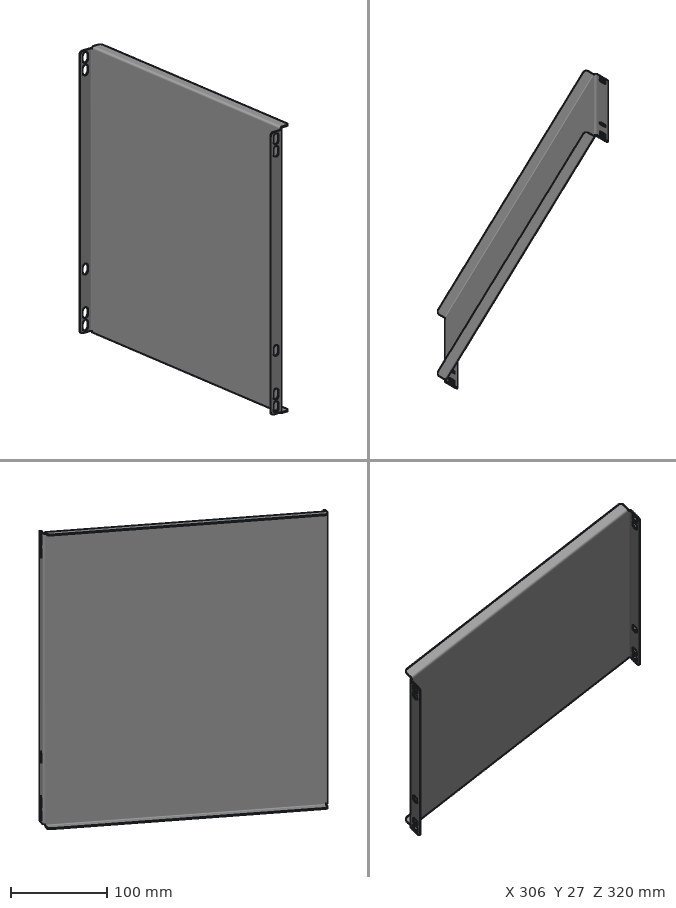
import cadquery as cq

WIDTH = 306.0
DEPTH = 27.0
HEIGHT = 320.0

THICKNESS = 1.5
INNER_BEND = 1.0
OUTER_BEND = INNER_BEND + THICKNESS

REAR_FLANGE = 12.0
REAR_CORNER = 4.0
SIDE_CORNER = 4.0

SLOT_WIDTH = 7.0
SLOT_LENGTH = 12.0
SLOT_EDGE_DISTANCE = 7.0
END_SLOT = 149.5
SLOT_PITCH = 14.0
SINGLE_SLOT = -86.7
SLOT_HEIGHTS = [END_SLOT, END_SLOT - SLOT_PITCH, SINGLE_SLOT, SLOT_PITCH - END_SLOT, -END_SLOT]

REAR_EDGE = DEPTH / 2
FRONT_EDGE = -DEPTH / 2
PANEL_FRONT = REAR_EDGE - REAR_FLANGE
PANEL_BACK = PANEL_FRONT + THICKNESS

FLAT_WIDTH = WIDTH - 2 * OUTER_BEND
FLAT_HEIGHT = HEIGHT - 2 * OUTER_BEND


def flange_section(plane, flat_end, outer, panel_inner, panel_outer, tip):
    """Bend and flange profile; panel_inner is the panel face on the inside of the bend."""
    toward_tip = 1 if tip > panel_inner else -1
    bend_end = panel_inner + toward_tip * INNER_BEND
    diagonal = 0.5 ** 0.5
    inner_mid = (flat_end + INNER_BEND * diagonal, bend_end - toward_tip * INNER_BEND * diagonal)
    outer_mid = (flat_end + OUTER_BEND * diagonal, bend_end - toward_tip * OUTER_BEND * diagonal)
    return (
        cq.Workplane(plane)
        .moveTo(flat_end, panel_outer)
        .threePointArc(outer_mid, (outer, bend_end))
        .lineTo(outer, tip)
        .lineTo(outer - THICKNESS, tip)
        .lineTo(outer - THICKNESS, bend_end)
        .threePointArc(inner_mid, (flat_end, panel_inner))
        .close()
    )


def make_side_flange():
    """Flange on the +X side, folded to -Y, with rounded front corners and slots."""
    section = flange_section(
        "XY", FLAT_WIDTH / 2, WIDTH / 2, PANEL_FRONT, PANEL_BACK, FRONT_EDGE
    )
    flange = section.extrude(FLAT_HEIGHT / 2, both=True)
    flange = flange.faces("<Y").edges("|X").fillet(SIDE_CORNER)
    slots = (
        cq.Workplane("YZ")
        .pushPoints([(FRONT_EDGE + SLOT_EDGE_DISTANCE, z) for z in SLOT_HEIGHTS])
        .slot2D(SLOT_LENGTH, SLOT_WIDTH, 90)
        .extrude(WIDTH)
    )
    return flange.cut(slots)


def make_top_flange():
    """Flange at the top, folded to +Y, with rounded rear corners."""
    section = flange_section(
        cq.Plane(origin=(0, 0, 0), xDir=(0, 0, 1), normal=(-1, 0, 0)),
        FLAT_HEIGHT / 2, HEIGHT / 2, PANEL_BACK, PANEL_FRONT, REAR_EDGE,
    )
    flange = section.extrude(FLAT_WIDTH / 2, both=True)
    return flange.faces(">Y").edges("|Z").fillet(REAR_CORNER)


panel = cq.Workplane("XY").box(FLAT_WIDTH, THICKNESS, FLAT_HEIGHT)
panel = panel.translate((0, PANEL_FRONT + THICKNESS / 2, 0))

side_flange = make_side_flange()
top_flange = make_top_flange()

result = (
    panel
    .union(side_flange)
    .union(side_flange.mirror("YZ"))
    .union(top_flange)
    .union(top_flange.mirror("XY"))
)